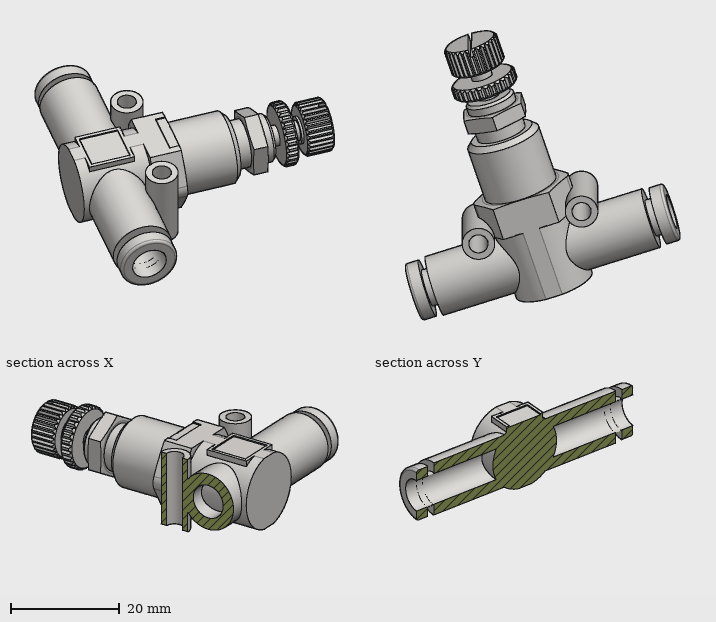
import cadquery as cq
import math


barrel_radius = 7.4
barrel_front = -6.7
barrel_back = 6.8
flat_height = 7.23

corner_cone_slope = math.tan(math.radians(7))

port_radius = 5.68
port_end = 21.0
bore_radius = 3.27
neck_radius = 3.5
collar_radius = 5.45
collar_length = 2.6
collar_fillet = 0.5
collar_end = 25.0

lug_radius = 3.0
lug_hole_radius = 1.75
lug_half_height = 7.4
lug_x = 10.0
lug_y = 7.5

block_end = 13.05
block_half_width = 9.57
block_corner_radius = 2.5
block_notch_width = 8.1
block_notch_length = 1.95

plate_width = 8.45
plate_length = 8.75
plate_y = -0.2
plate_border = 0.66
recess_depth = 0.25

sleeve_radius = 6.9
sleeve_chamfer = 1.0
sleeve_end = 24.3
thread_radius = 4.6
thread_chamfer = 0.5
thread_end = 31.7

nut_across_flats = 11.1
nut_start = 26.8
nut_thickness = 3.0
nut_face_radius = 5.0

stem_radius = 1.95
tooth_count = 30
groove_depth = 0.4
knurl_chamfer = 0.45
ring_radius = 6.1
ring_start = 33.25
ring_thickness = 2.45
knob_radius = 5.1
knob_start = 37.7
knob_end = 42.95
knob_flange_radius = 2.62
knob_flange_height = 0.45
slot_width = 0.7
slot_depth = 1.45


def across_y(y):
    """Workplane at height y, with X to the right and Z up; negative extrusions go toward +Y."""
    return cq.Workplane("XZ", origin=(0, y, 0))


def rod(radius, y_start, y_end):
    return across_y(y_start).circle(radius).extrude(y_start - y_end)


def box(width, length, height):
    return cq.Workplane("XY").box(width, length, height)


def turned(profile):
    """Solid of revolution about Y from (radius, y) points."""
    return cq.Workplane("XY").polyline(profile).close().revolve(360, (0, 0), (0, 1))


def port(side):
    """Tube port with its neck and rounded release collar; side is -1 or +1 along X."""
    axis = cq.Workplane("YZ")
    collar_start = collar_end - collar_length
    tube = axis.circle(port_radius).extrude(side * port_end)
    neck = axis.circle(neck_radius).extrude(side * collar_end)
    collar = axis.workplane(offset=side * collar_start).circle(collar_radius).extrude(side * collar_length)
    collar = collar.faces(">X" if side > 0 else "<X").edges().fillet(collar_fillet)
    bore = axis.circle(bore_radius).extrude(side * collar_end)
    return tube.union(neck).union(collar).cut(bore)


def block():
    """Stretched hexagon with 60-degree sides, rounded side corners and a shallow cone on its far end."""
    top_half_width = block_half_width - flat_height * math.tan(math.radians(30))
    outline = [
        (block_half_width, 0),
        (top_half_width, flat_height),
        (-top_half_width, flat_height),
        (-block_half_width, 0),
        (-top_half_width, -flat_height),
        (top_half_width, -flat_height),
    ]
    body = across_y(barrel_back).polyline(outline).close().extrude(barrel_back - block_end)
    body = body.edges("|Y and (>X or <X)").fillet(block_corner_radius)
    corner_drop = (block_half_width - barrel_radius) * corner_cone_slope
    coned_blank = turned([
        (0, barrel_back),
        (block_half_width, barrel_back),
        (block_half_width, block_end - corner_drop),
        (barrel_radius, block_end),
        (0, block_end),
    ])
    body = body.intersect(coned_blank)
    notch = box(block_notch_width, 2 * block_notch_length, 2 * recess_depth)
    return body.cut(notch.translate((0, block_end, flat_height)))


def label_plate():
    """Rectangular pad, level with the top flat and recessed inside a border."""
    plate = box(plate_width, plate_length, flat_height).translate((0, plate_y, flat_height / 2))
    recess = box(plate_width - 2 * plate_border, plate_length - 2 * plate_border, 2 * recess_depth)
    return plate.cut(recess.translate((0, plate_y, flat_height)))


def flattened_barrel():
    """Solid barrel with top and bottom flats and the label plate; it closes the inner ends of the bores."""
    barrel = rod(barrel_radius, barrel_front, barrel_back)
    between_flats = box(2 * barrel_radius, barrel_back - barrel_front, 2 * flat_height)
    barrel = barrel.intersect(between_flats.translate((0, (barrel_front + barrel_back) / 2, 0)))
    clearance = box(plate_width, plate_length, 2 * recess_depth).translate((0, plate_y, flat_height))
    return barrel.cut(clearance).union(label_plate())


def sleeve():
    body = rod(sleeve_radius, block_end, sleeve_end).faces(">Y").chamfer(sleeve_chamfer)
    thread = rod(thread_radius, sleeve_end, thread_end).faces(">Y").chamfer(thread_chamfer)
    return body.union(thread)


def make_housing():
    body = port(-1).union(port(1)).union(flattened_barrel()).union(block()).union(sleeve())
    lugs = (
        cq.Workplane("XY", origin=(0, lug_y, -lug_half_height))
        .pushPoints([(-lug_x, 0), (lug_x, 0)])
    )
    body = body.union(lugs.circle(lug_radius).extrude(2 * lug_half_height))
    return body.cut(lugs.circle(lug_hole_radius).extrude(2 * lug_half_height))


def make_panel_nut():
    """Hexagon with corners toward +Z and -Z, coned back slightly around a round face at each end."""
    nut_end = nut_start + nut_thickness
    across_corners = nut_across_flats / math.cos(math.radians(30))
    corner_radius = across_corners / 2
    corner_drop = (corner_radius - nut_face_radius) * corner_cone_slope
    hexagon = (
        across_y(nut_start)
        .transformed(rotate=(0, 0, 90))
        .polygon(6, across_corners)
        .extrude(-nut_thickness)
    )
    coned_blank = turned([
        (0, nut_start),
        (nut_face_radius, nut_start),
        (corner_radius, nut_start + corner_drop),
        (corner_radius, nut_end - corner_drop),
        (nut_face_radius, nut_end),
        (0, nut_end),
    ])
    return hexagon.intersect(coned_blank).cut(rod(thread_radius, nut_start, nut_end))


def knurled_disc(radius, y_start, y_end):
    """Chamfered disc with right-angled V grooves between flat-topped teeth."""
    pitch = 2 * math.pi / tooth_count
    half_tip = pitch / 2 - groove_depth / radius
    outline = []
    for tooth in range(tooth_count):
        middle = tooth * pitch
        for r, angle in (
            (radius, middle - half_tip),
            (radius, middle + half_tip),
            (radius - groove_depth, middle + pitch / 2),
        ):
            outline.append((r * math.cos(angle), r * math.sin(angle)))
    teeth = across_y(y_start).polyline(outline).close().extrude(y_start - y_end)
    blank = rod(radius, y_start, y_end).faces("<Y or >Y").chamfer(knurl_chamfer)
    return teeth.intersect(blank)


def make_lock_ring():
    ring_end = ring_start + ring_thickness
    return knurled_disc(ring_radius, ring_start, ring_end).cut(rod(stem_radius, ring_start, ring_end))


def make_adjusting_screw():
    """Knob, flange and stem; the stem stands on the end of the sleeve."""
    head = knurled_disc(knob_radius, knob_start, knob_end)
    slot = box(slot_width, 2 * slot_depth, 2 * knob_radius).translate((0, knob_end, 0))
    flange = rod(knob_flange_radius, knob_start - knob_flange_height, knob_start)
    stem = rod(stem_radius, thread_end, knob_start)
    return head.cut(slot).union(flange).union(stem)


housing = make_housing()
panel_nut = make_panel_nut()
lock_ring = make_lock_ring()
adjusting_screw = make_adjusting_screw()

result = cq.Compound.makeCompound(
    [housing.val(), panel_nut.val(), lock_ring.val(), adjusting_screw.val()]
)